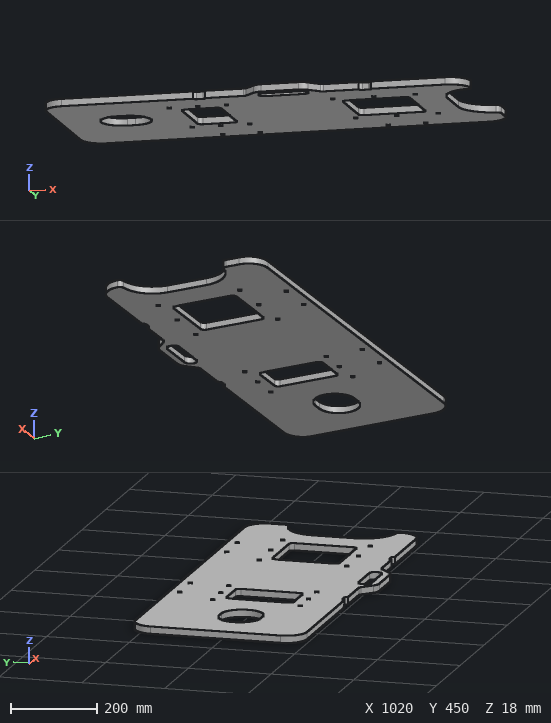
import cadquery as cq
import math

length = 1020
depth = 415
thickness = 18
corner_radius = 50
mid_y = 190

recess_arc_radius = 80
lip_radius = 11
recess_back_x = length - recess_arc_radius
recess_straight_half = 50

grip_x = 583
grip_drop = 35
grip_outer_radius = 30
grip_inner_radius = 10
grip_flat_half = 44.5
grip_slot_length = 120
grip_slot_width = 30

notch_centres_x = (380, 778)
notch_half_width = 14.5
notch_depth = 7
notch_corner_radius = 7

oval_x = 155
oval_length = 120
oval_width = 100

window_height = 162
window_corner_radius = 10
hole_diameter = 8
hole_row_offset = 106
small_window_x = 355
small_window_width = 94
small_window_hole_pitch = 69
small_window_holes_x = small_window_x
large_window_x = 775
large_window_width = 160
large_window_hole_pitch = 99
large_window_holes_x = 778

edge_hole_inset = 25
edge_holes_x = (335, 425, 733, 823)


def make_outline():
    """Closed outline of the plate, drawn counter-clockwise from the lower left corner."""
    diagonal = math.sqrt(0.5)

    recess_arc_x = recess_back_x + recess_arc_radius
    lip_x = length - lip_radius
    centre_distance = recess_arc_radius + lip_radius
    lip_offset = recess_straight_half + math.sqrt(centre_distance**2 - (recess_arc_x - lip_x) ** 2)
    touch_share = recess_arc_radius / centre_distance
    touch_x = recess_arc_x + (lip_x - recess_arc_x) * touch_share
    touch_offset = recess_straight_half + (lip_offset - recess_straight_half) * touch_share
    lip_mid_x = lip_x + lip_radius * diagonal
    lip_mid_offset = lip_offset - lip_radius * diagonal
    recess_mid_x = recess_arc_x - recess_arc_radius * diagonal
    recess_mid_offset = recess_straight_half + recess_arc_radius * diagonal

    lower_right_radius = mid_y - lip_offset

    outer_run = grip_outer_radius * diagonal
    outer_rise = grip_outer_radius * (1 - diagonal)
    inner_run = grip_inner_radius * diagonal
    inner_rise = grip_inner_radius * (1 - diagonal)
    flank = grip_drop - outer_rise - inner_rise
    flank_low = grip_flat_half + outer_run
    flank_high = flank_low + flank
    grip_half = flank_high + inner_run

    corner_inset = corner_radius * (1 - diagonal)
    lower_right_inset = lower_right_radius * (1 - diagonal)
    return (
        cq.Workplane("XY")
        .moveTo(corner_radius, 0)
        .lineTo(grip_x - grip_half, 0)
        .tangentArcPoint((grip_x - flank_high, -inner_rise), relative=False)
        .lineTo(grip_x - flank_low, outer_rise - grip_drop)
        .tangentArcPoint((grip_x - grip_flat_half, -grip_drop), relative=False)
        .lineTo(grip_x + grip_flat_half, -grip_drop)
        .tangentArcPoint((grip_x + flank_low, outer_rise - grip_drop), relative=False)
        .lineTo(grip_x + flank_high, -inner_rise)
        .tangentArcPoint((grip_x + grip_half, 0), relative=False)
        .lineTo(length - lower_right_radius, 0)
        .threePointArc((length - lower_right_inset, lower_right_inset), (length, lower_right_radius))
        .threePointArc((lip_mid_x, mid_y - lip_mid_offset), (touch_x, mid_y - touch_offset))
        .threePointArc(
            (recess_mid_x, mid_y - recess_mid_offset), (recess_back_x, mid_y - recess_straight_half)
        )
        .lineTo(recess_back_x, mid_y + recess_straight_half)
        .threePointArc((recess_mid_x, mid_y + recess_mid_offset), (touch_x, mid_y + touch_offset))
        .threePointArc((lip_mid_x, mid_y + lip_mid_offset), (length, mid_y + lip_offset))
        .lineTo(length, depth - corner_radius)
        .threePointArc((length - corner_inset, depth - corner_inset), (length - corner_radius, depth))
        .lineTo(corner_radius, depth)
        .threePointArc((corner_inset, depth - corner_inset), (0, depth - corner_radius))
        .lineTo(0, corner_radius)
        .threePointArc((corner_inset, corner_inset), (corner_radius, 0))
        .close()
    )


def cutter(x, y):
    """Workplane on the underside of the plate, centred at (x, y), for through cuts."""
    return cq.Workplane("XY").center(x, y)


def cut_window(plate, x, width, holes_x, hole_pitch):
    """Cut a round-cornered window and the rows of three holes above and below it."""
    window = cutter(x, mid_y).rect(width, window_height).extrude(thickness)
    window = window.edges("|Z").fillet(window_corner_radius)
    places = []
    for side in (-1, 1):
        for column in (-1, 0, 1):
            places.append((column * hole_pitch, side * hole_row_offset))
    holes = cutter(holes_x, mid_y).pushPoints(places).circle(hole_diameter / 2).extrude(thickness)
    return plate.cut(window).cut(holes)


def cut_slot(plate, x, y, slot_length, slot_width):
    """Cut a slot with full-round ends through the plate."""
    return plate.cut(cutter(x, y).slot2D(slot_length, slot_width).extrude(thickness))


def cut_edge_notch(plate, x):
    """Cut a shallow notch with rounded inner corners into the lower edge."""
    notch = cutter(x, 0).rect(2 * notch_half_width, 2 * notch_depth).extrude(thickness)
    notch = notch.edges("|Z and >Y").fillet(notch_corner_radius)
    return plate.cut(notch)


def cut_edge_holes(plate):
    """Drill the holes along the upper edge."""
    places = [(x, depth - edge_hole_inset) for x in edge_holes_x]
    return plate.cut(cutter(0, 0).pushPoints(places).circle(hole_diameter / 2).extrude(thickness))


result = make_outline().extrude(thickness)
result = cut_slot(result, grip_x, 0, grip_slot_length, grip_slot_width)
result = cut_slot(result, oval_x, mid_y, oval_length, oval_width)
result = cut_window(
    result, small_window_x, small_window_width, small_window_holes_x, small_window_hole_pitch
)
result = cut_window(
    result, large_window_x, large_window_width, large_window_holes_x, large_window_hole_pitch
)
result = cut_edge_holes(result)
for notch_x in notch_centres_x:
    result = cut_edge_notch(result, notch_x)